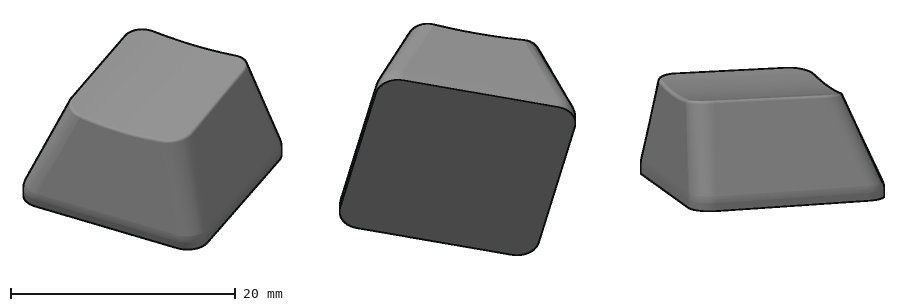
import cadquery as cq
import math

base_size = 18.16
corner_radius = 2.0
skirt_height = 0.75
bend_end_height = 1.35
wall_height = 10.17

side_lean = 0.38
front_lean = 0.39
back_lean = 0.09

dish_radius = 36.32
dish_middle_height = 8.75
dish_tilt = 1.1
dish_length = 2 * base_size
top_edge_radius = 0.29


def effective_rise(height):
    """Wall inset divided by lean: zero on the skirt, a parabola in the bend, then a straight line."""
    bend_length = bend_end_height - skirt_height
    if height <= skirt_height:
        return 0.0
    if height <= bend_end_height:
        return (height - skirt_height) ** 2 / (2 * bend_length)
    return bend_length / 2 + height - bend_end_height


def wall_section(height):
    """Rounded rectangle of the outer walls at a height, as a wire."""
    rise = effective_rise(height)
    width = base_size - 2 * side_lean * rise
    depth = base_size - (front_lean + back_lean) * rise
    center_y = (front_lean - back_lean) * rise / 2
    sharp = cq.Workplane("XY", origin=(0, center_y, height)).rect(width, depth).val()
    return sharp.fillet2D(corner_radius, sharp.Vertices())


def loft_walls(heights, ruled):
    """Solid through the wall sections at the given heights."""
    wires = [wall_section(height) for height in heights]
    return cq.Workplane(cq.Solid.makeLoft(wires, ruled))


def make_body():
    """Upright skirt, inward bend and straight leaning walls."""
    bend_middle_height = (skirt_height + bend_end_height) / 2
    skirt = loft_walls([0, skirt_height], True)
    bend = loft_walls([skirt_height, bend_middle_height, bend_end_height], False)
    walls = loft_walls([bend_end_height, wall_height], True)
    return skirt.union(bend).union(walls)


def make_dish():
    """Tilted cylinder that scoops out the top."""
    tilt = math.radians(dish_tilt)
    direction = cq.Vector(0, math.cos(tilt), math.sin(tilt))
    axis_height = dish_middle_height + dish_radius / math.cos(tilt)
    start = cq.Vector(0, 0, axis_height) - direction * (dish_length / 2)
    return cq.Workplane(cq.Solid.makeCylinder(dish_radius, dish_length, start, direction))


keycap = make_body().cut(make_dish())
result = keycap.faces(">Z").edges().fillet(top_edge_radius)